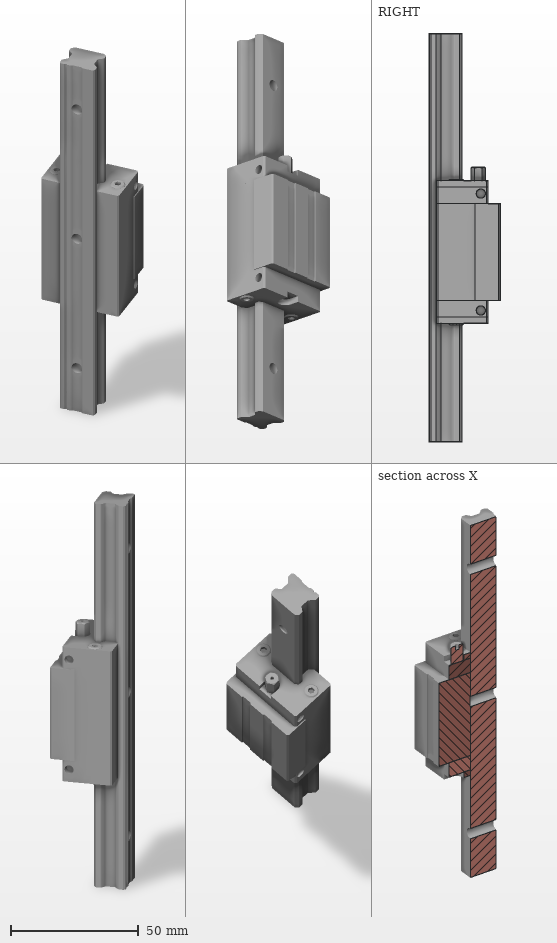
import cadquery as cq

rail_length = 160.0
rail_half_width = 7.5
rail_height = 13.0
rail_web_half_width = 5.45
rail_top_chamfer_x = 1.4
rail_top_chamfer_y = 1.1
rail_bottom_chamfer_x = 0.6
rail_bottom_chamfer_y = 0.8
head_bottom_y = 9.9
web_top_y = 8.4
web_bottom_y = 4.7
foot_top_y = web_bottom_y - (rail_half_width - rail_web_half_width)
head_edge_radius = 0.8
relief_half_width = 2.6
relief_floor_half_width = 1.7
relief_depth = 0.5
mark_x = -4.6
mark_width = 1.0
mark_depth = 0.4
rail_hole_diameter = 4.5
rail_hole_pitch = 60.0

carriage_z = -5.6
carriage_bottom_y = 3.0
block_length = 38.0
block_half_width = 17.0
block_top_y = 28.0
block_step_y = 18.0
body_half_width = 16.6
block_top_chamfer_x = 0.6
block_top_chamfer_y = 0.75
body_bottom_chamfer = 0.6
pad_inner_x = 3.6
pad_outer_x = 8.0
pad_channel_depth = 0.5

cap_thickness = 6.5
seal_thickness = 2.5
cap_top_y = 23.2
cap_top_chamfer = 0.7
port_diameter = 3.6
port_depth = 3.0
port_y = 20.3
port_offset = 3.9

screw_x = 13.0
screw_y = 10.7
screw_head_diameter = 5.9
screw_head_height = 0.5
screw_head_chamfer = 0.45
screw_socket_diameter = 2.8
screw_socket_depth = 1.5

nipple_y = 19.3
nipple_across_corners = 5.8
nipple_height = 5.3
nipple_chamfer = 0.5
nipple_bore_diameter = 1.4
nipple_bore_depth = 2.0
nipple_slot_radius = 3.1

hex_sides = 6

block_end = block_length / 2
cap_end = block_end + cap_thickness


def mirrored_outline(right_side):
    """Close a right-hand chain of points with its mirror image about X = 0."""
    left_side = [(-x, y) for x, y in reversed(right_side)]
    return cq.Workplane("XY").polyline(right_side + left_side).close()


def rail_bar(length):
    """Plain rail section, centred on Z = 0, without grooves or holes."""
    outline = mirrored_outline([
        (rail_half_width - rail_bottom_chamfer_x, 0),
        (rail_half_width, rail_bottom_chamfer_y),
        (rail_half_width, foot_top_y),
        (rail_web_half_width, web_bottom_y),
        (rail_web_half_width, web_top_y),
        (rail_half_width, head_bottom_y),
        (rail_half_width, rail_height - rail_top_chamfer_y),
        (rail_half_width - rail_top_chamfer_x, rail_height),
    ])
    bar = outline.extrude(length / 2, both=True)
    for side in (-1, 1):
        for x, y in ((rail_half_width, head_bottom_y), (rail_web_half_width, web_top_y)):
            edge_point = (side * x, y, 0)
            bar = bar.edges(cq.selectors.NearestToPointSelector(edge_point)).fillet(head_edge_radius)
    return bar


def make_rail():
    """Rail with its underside grooves and mounting holes."""
    relief = mirrored_outline([
        (relief_half_width, 0),
        (relief_floor_half_width, relief_depth),
    ]).extrude(rail_length / 2, both=True)
    mark = (
        cq.Workplane("XY")
        .moveTo(mark_x - mark_width / 2, 0)
        .threePointArc((mark_x, mark_depth), (mark_x + mark_width / 2, 0))
        .close()
        .extrude(rail_length / 2, both=True)
    )
    holes = (
        cq.Workplane("XZ")
        .pushPoints([(0, i * rail_hole_pitch) for i in (-1, 0, 1)])
        .circle(rail_hole_diameter / 2)
        .extrude(-rail_height)
    )
    return rail_bar(rail_length).cut(relief).cut(mark).cut(holes)


def make_block(rail_space):
    """Carriage block, centred on Z = 0, fitted round the rail."""
    block = mirrored_outline([
        (body_half_width - body_bottom_chamfer, carriage_bottom_y),
        (body_half_width, carriage_bottom_y + body_bottom_chamfer),
        (body_half_width, block_step_y),
        (block_half_width, block_step_y),
        (block_half_width, block_top_y - block_top_chamfer_y),
        (block_half_width - block_top_chamfer_x, block_top_y),
        (pad_outer_x, block_top_y),
        (pad_outer_x, block_top_y - pad_channel_depth),
        (pad_inner_x, block_top_y - pad_channel_depth),
        (pad_inner_x, block_top_y),
    ]).extrude(block_length / 2, both=True)
    return block.cut(rail_space)


def end_plate(thickness, rail_space):
    """Plate with the end-cap outline, standing on Z = 0."""
    plate = mirrored_outline([
        (body_half_width - body_bottom_chamfer, carriage_bottom_y),
        (body_half_width, carriage_bottom_y + body_bottom_chamfer),
        (body_half_width, cap_top_y - cap_top_chamfer),
        (body_half_width - cap_top_chamfer, cap_top_y),
    ]).extrude(thickness)
    return plate.cut(rail_space)


def make_cap(rail_space):
    """Upper end cap with a blind port in each side."""
    cap = end_plate(cap_thickness, rail_space)
    for side in (-1, 1):
        port = (
            cq.Workplane("YZ", origin=(side * body_half_width, 0, 0))
            .center(port_y, port_offset)
            .circle(port_diameter / 2)
            .extrude(-side * port_depth)
        )
        cap = cap.cut(port)
    return cap.translate((0, 0, block_end))


def make_seal(rail_space):
    """Upper end seal with a slot for the nipple and two screw heads."""
    seal = end_plate(seal_thickness, rail_space)
    slot_height = cap_top_y - nipple_y
    slot = (
        cq.Workplane("XY", origin=(0, nipple_y, 0))
        .circle(nipple_slot_radius)
        .extrude(seal_thickness)
        .union(
            cq.Workplane("XY", origin=(0, nipple_y + slot_height / 2, 0))
            .rect(2 * nipple_slot_radius, slot_height)
            .extrude(seal_thickness)
        )
    )
    screw_heads = (
        cq.Workplane("XY", origin=(0, 0, seal_thickness))
        .pushPoints([(-screw_x, screw_y), (screw_x, screw_y)])
        .circle(screw_head_diameter / 2)
        .extrude(screw_head_height)
        .faces(">Z")
        .chamfer(screw_head_chamfer)
    )
    sockets = (
        cq.Workplane("XY", origin=(0, 0, seal_thickness + screw_head_height))
        .pushPoints([(-screw_x, screw_y), (screw_x, screw_y)])
        .polygon(hex_sides, screw_socket_diameter)
        .extrude(-screw_socket_depth)
    )
    return seal.cut(slot).union(screw_heads).cut(sockets).translate((0, 0, cap_end))


def make_nipple():
    """Hexagonal nipple with corners along Y, standing on the upper end cap."""
    length = seal_thickness + nipple_height
    corner_radius = nipple_across_corners / 2
    hexagon = (
        cq.Workplane("XY")
        .transformed(rotate=(0, 0, 90))
        .polygon(hex_sides, nipple_across_corners)
        .extrude(length)
    )
    bevelled_bar = (
        cq.Workplane("XY")
        .circle(corner_radius)
        .extrude(length)
        .faces(">Z")
        .chamfer(nipple_chamfer)
    )
    bore = (
        cq.Workplane("XY", origin=(0, 0, length))
        .circle(nipple_bore_diameter / 2)
        .extrude(-nipple_bore_depth)
    )
    return hexagon.intersect(bevelled_bar).cut(bore).translate((0, nipple_y, cap_end))


rail_space = rail_bar(rail_length)
to_carriage = (0, 0, carriage_z)

rail = make_rail()
block = make_block(rail_space).translate(to_carriage)
nipple = make_nipple().translate(to_carriage)

caps = []
seals = []
for flipped in (False, True):
    cap = make_cap(rail_space)
    seal = make_seal(rail_space)
    if flipped:
        cap = cap.mirror("XY")
        seal = seal.mirror("XY")
    caps.append(cap.translate(to_carriage).val())
    seals.append(seal.translate(to_carriage).val())

result = cq.Compound.makeCompound([rail.val(), block.val(), *caps, *seals, nipple.val()])